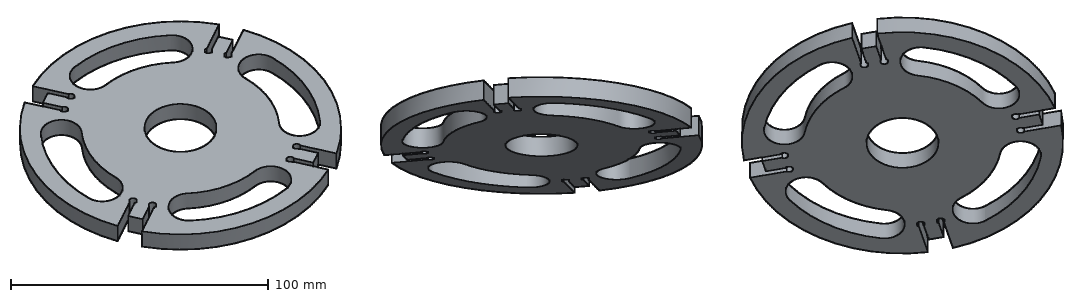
import cadquery as cq
import math

outer_size = 124.6
thickness = 8.0
bore_diameter = 28.0

notch_width = 10.0
tongue_width = 6.0
tongue_tip_radius = 55.5
slit_end_radius = 46.4
relief_diameter = 3.0

slot_center_radius = 46.5
slot_width = 16.0
slot_span = 45.0

repeat_count = 4
repeat_angle = 360 / repeat_count

disc_radius = math.hypot(outer_size / 2, notch_width / 2)
slit_offset = (notch_width + tongue_width) / 4


def polar(radius, angle):
    """Point at a radius and an angle in degrees."""
    return radius * math.cos(math.radians(angle)), radius * math.sin(math.radians(angle))


def notch_cutter():
    """Notch on +X: open strip, less its tongue, plus the slit-end reliefs."""
    notch_length = disc_radius - slit_end_radius
    tongue_length = tongue_tip_radius - slit_end_radius
    along_x = (False, True, False)
    base = cq.Workplane("XY").center(slit_end_radius, 0)
    notch = base.box(notch_length, notch_width, thickness, centered=along_x)
    tongue = base.box(tongue_length, tongue_width, thickness, centered=along_x)
    reliefs = (
        base.pushPoints([(0, slit_offset), (0, -slit_offset)])
        .circle(relief_diameter / 2)
        .extrude(thickness)
    )
    return notch.cut(tongue).union(reliefs)


def curved_slot_cutter():
    """Arc slot with round ends, midway between two notches."""
    middle = repeat_angle / 2
    start = middle - slot_span / 2
    end = middle + slot_span / 2
    inner_radius = slot_center_radius - slot_width / 2
    outer_radius = slot_center_radius + slot_width / 2
    start_center = polar(slot_center_radius, start)
    end_center = polar(slot_center_radius, end)
    start_bulge = polar(slot_width / 2, start - 90)
    end_bulge = polar(slot_width / 2, end + 90)
    start_tip = (start_center[0] + start_bulge[0], start_center[1] + start_bulge[1])
    end_tip = (end_center[0] + end_bulge[0], end_center[1] + end_bulge[1])
    return (
        cq.Workplane("XY")
        .moveTo(*polar(outer_radius, start))
        .threePointArc(polar(outer_radius, middle), polar(outer_radius, end))
        .threePointArc(end_tip, polar(inner_radius, end))
        .threePointArc(polar(inner_radius, middle), polar(inner_radius, start))
        .threePointArc(start_tip, polar(outer_radius, start))
        .close()
        .extrude(thickness)
    )


result = cq.Workplane("XY").circle(disc_radius).circle(bore_diameter / 2).extrude(thickness)
for cutter in (notch_cutter(), curved_slot_cutter()):
    for index in range(repeat_count):
        result = result.cut(cutter.rotate((0, 0, 0), (0, 0, 1), index * repeat_angle))